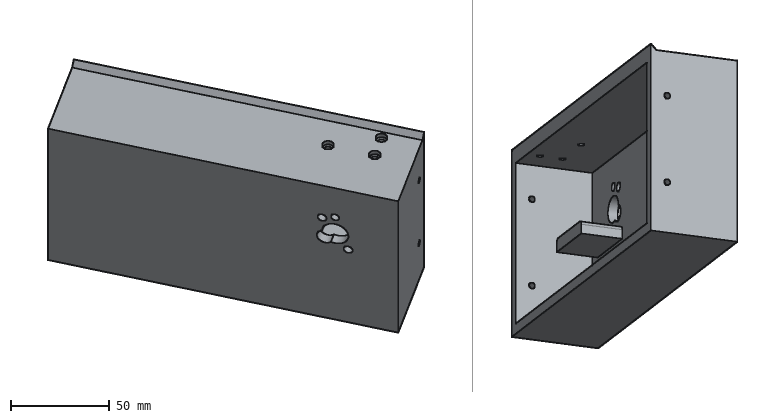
import cadquery as cq
import math

length = 185.04
depth = 47.57
height = 100.0
lip_rise = 3.0
lip_depth = 3.1
wall = 5.5
body_height = height - lip_rise

connector_x = 151.7
connector_z = 63.5
connector_diameter = 14.0
bolt_circle_radius = 12.0
bolt_axis_angle = 125.0
bolt_diameter = 4.7
top_hole_diameter = 4.3
key_offset = 6.6
key_diameter = 8.6

ledge_left_x = 139.7
ledge_right_x = 172.3
ledge_back_y = 28.0
ledge_top_z = 51.0
ledge_thickness = 7.0
ledge_edge_radius = 2.0

screw_diameter = 3.2
screw_head_diameter = 6.0
screw_head_depth = 2.6
screw_row_y = 28.0
screw_back_y = 40.4
screw_left_x = 139.9
screw_right_x = 164.6

cross_hole_y = 38.6
cross_hole_heights = (27.0, 73.3)


def housing():
    outer_profile = [
        (0, 0),
        (depth, 0),
        (depth, height),
        (depth - lip_depth, body_height),
        (0, body_height),
    ]
    block = cq.Workplane("YZ").polyline(outer_profile).close().extrude(length)
    cavity = cq.Workplane("XY").box(
        length - 2 * wall, depth - wall, body_height - 2 * wall, centered=False
    ).translate((wall, wall, wall))
    return block.cut(cavity)


def ledge():
    block = cq.Workplane("XY").box(
        ledge_right_x - ledge_left_x, ledge_back_y - wall / 2, ledge_thickness, centered=False
    ).translate((ledge_left_x, wall / 2, ledge_top_z - ledge_thickness))
    return block.edges("|Y and >Z").fillet(ledge_edge_radius)


def front_hole(radius_from_center, angle, diameter):
    x = connector_x + radius_from_center * math.cos(math.radians(angle))
    z = connector_z + radius_from_center * math.sin(math.radians(angle))
    return cq.Workplane("XZ", origin=(x, 0, z)).circle(diameter / 2).extrude(-wall)


def connector_cutout():
    cutout = front_hole(0, 0, connector_diameter)
    cutout = cutout.union(front_hole(key_offset, bolt_axis_angle + 90, key_diameter))
    cutout = cutout.union(front_hole(bolt_circle_radius, 90, top_hole_diameter))
    for angle in (bolt_axis_angle, bolt_axis_angle + 180):
        cutout = cutout.union(front_hole(bolt_circle_radius, angle, bolt_diameter))
    return cutout


def screw_hole(x, y):
    top = cq.Workplane("XY", origin=(x, y, body_height))
    shank = top.circle(screw_diameter / 2).extrude(-wall)
    head = top.circle(screw_head_diameter / 2).extrude(-screw_head_depth)
    return shank.union(head)


def cross_hole(z):
    return cq.Workplane("YZ", origin=(0, cross_hole_y, z)).circle(screw_diameter / 2).extrude(length)


screw_positions = (
    (screw_left_x, screw_row_y),
    (screw_right_x, screw_row_y),
    (screw_right_x, screw_back_y),
)

result = housing().union(ledge()).cut(connector_cutout())
for x, y in screw_positions:
    result = result.cut(screw_hole(x, y))
for z in cross_hole_heights:
    result = result.cut(cross_hole(z))